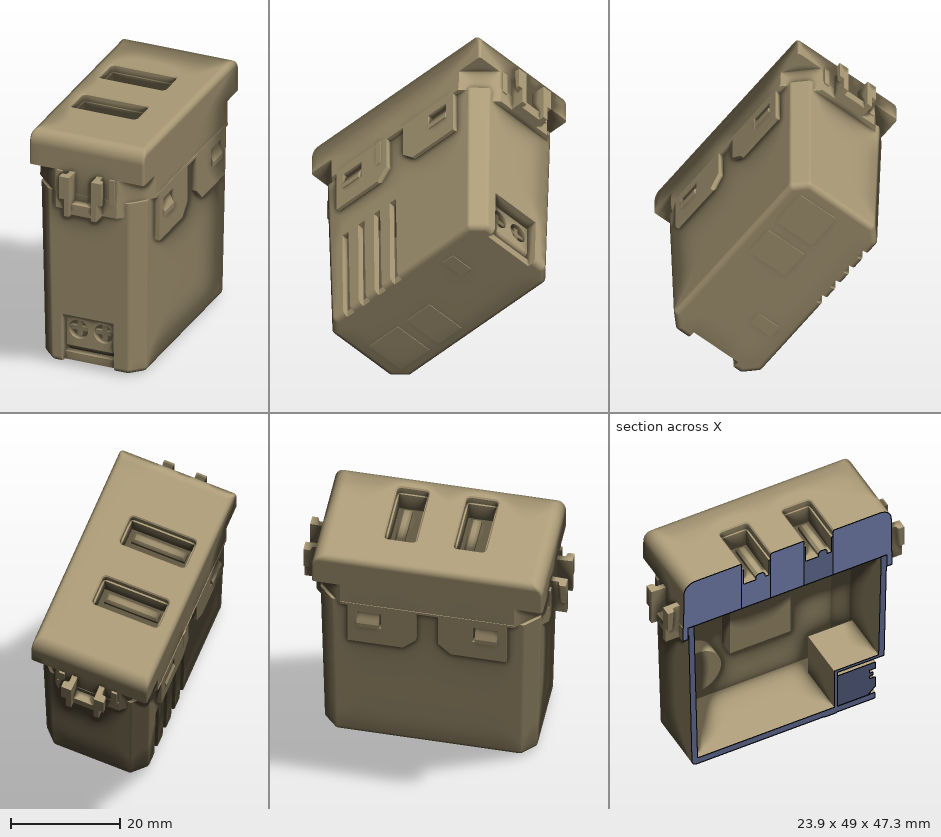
import cadquery as cq

TOTAL_HEIGHT = 47.25
HALF_LENGTH = 24.5

CAP_HALF_X = 11.55
CAP_HALF_Y = 21.6
CAP_BOTTOM = 36.25
CAP_DRAFT = 0.1
END_ROUND = 2.45
SIDE_ROUND = 1.2
CORNER_ROUND = 0.5

FLANGE_HALF_X = 11.65
FLANGE_HALF_Y = 21.7
FLANGE_BOTTOM = 35.7
CORNER_CUT = 5.6
CORNER_CUT_TOP = 40.55

TAB_BOTTOM = 26.3
TAB_OUTER_Y = 14.85
TAB_INNER_Y = 2.05
TAB_CHAMFER = 2.4
TAB_LEAD_IN = 0.35
WINDOW_INNER_Y = 8.55
WINDOW_OUTER_Y = 13.1
WINDOW_BOTTOM = 30.55
WINDOW_TOP = 34.3
TAB_RIB_Y = (3.55, 4.6)
TAB_RIB_REACH = 11.8

SKIRT_BOTTOM = 32.85
SKIRT_HALF_X = 7.25
BUMP_X = (4.65, 5.75)
BUMP_REACH = 21.95
BUMP_BOTTOM = 35.52
CLIP_TOP = 40.75
CLIP_HEAD_BOTTOM = CAP_BOTTOM
CLIP_STEM_X = (2.25, 3.25)
CLIP_ROOT_X = 2.15
CLIP_HEAD_X = 4.2
CLIP_HEAD_Y = 23.15
CLIP_HEAD_LEAN = 0.3
CLIP_HEAD_ROUND = 0.45
WEB_REACH = 23.4
WEB_TOP = 34.95

HOUSING_HALF_X = 10.65
HOUSING_HALF_Y = 20.6
HOUSING_FOOT_HALF_X = 10.15
HOUSING_FOOT_HALF_Y = 19.85
HOUSING_CHAMFER = 2.6
HOUSING_EDGE_ROUND = 0.75
HOUSING_BOTTOM_ROUND = 1.15
HOUSING_BOTTOM = 0.15
WALL = 1.22
FLOOR_TOP = 1.7
CATCH_INNER_Y = 8.95
CATCH_REACH = 11.95
CATCH_PEAK = 31.5
PAD_BOXES = (
    ((-0.8, 7.55), (9.75, 17.0)),
    ((-0.8, 7.55), (1.6, 7.45)),
    ((-6.85, -2.1), (-10.2, -7.65)),
)

SLOT_COUNT = 4
SLOT_FIRST_Y = 1.7
SLOT_PITCH = 4.0
SLOT_TOP = 20.2
SLOT_TOP_WIDTH = 1.55
SLOT_BOTTOM_WIDTH = 1.8

BOSS_RADIUS = 5.0
BOSS_Y = 13.15
BOSS_Z = 11.75
STEP_HALF_Y = 6.25
STEP_BOTTOM = 13.5
INNER_RELIEF = 2.95

OPENING_X = (-5.8, 4.75)
OPENING_TOP = 10.25
OPENING_FLOOR_SETBACK = 18.2
BLOCK_X = (-5.4, 4.35)
BLOCK_TOP = 9.45
BLOCK_FRONT = -18.25
BLOCK_DEPTH = 7.85
BLOCK_UNDERCUT = 1.45
CHAMBER_WALL = 0.75
SCREW_X = (-3.05, 1.95)
SCREW_Z = 6.7
SCREW_RADIUS = 1.9
SCREW_RECESS = 1.22
CROSS_RECESS = 0.5
CROSS_WIDTH = 0.85
CROSS_HEIGHT = 3.0

SOCKET_X = -2.05
SOCKET_Y = (6.5, -6.4)
SOCKET_LENGTH = 13.15
SOCKET_WIDTH = 5.95
SOCKET_CORNER = 0.75
SOCKET_TOP = 45.65
SHELL_WALL = 0.35
SOCKET_FLOOR = 41.9
TONGUE_LENGTH = 10.6
TONGUE_WIDTH = 1.9
TONGUE_OFFSET_Y = -0.9
TONGUE_TOP = 43.1
TONGUE_CHAMFER = 0.5
MOUTH_CHAMFER = 0.25


def block(x_range, y_range, z_range):
    """Box between the given limits along X, Y and Z."""
    limits = (x_range, y_range, z_range)
    sizes = [high - low for low, high in limits]
    return cq.Workplane("XY").box(*sizes, centered=False).translate([low for low, high in limits])


def octagon(half_x, half_y, cut, z):
    """Rectangle with diagonally cut corners, drawn at height z."""
    points = []
    for sign_x, sign_y in ((1, 1), (-1, 1), (-1, -1), (1, -1)):
        on_side = (sign_x * half_x, sign_y * (half_y - cut))
        on_end = (sign_x * (half_x - cut), sign_y * half_y)
        points += [on_side, on_end] if sign_x == sign_y else [on_end, on_side]
    return cq.Workplane("XY").workplane(offset=z).polyline(points).close()


def on_both_ends(shape):
    """The shape together with its mirror image across Y = 0."""
    return shape.union(shape.mirror("XZ"))


def on_both_sides(shape):
    """The shape together with its mirror image across X = 0."""
    return shape.union(shape.mirror("YZ"))


def rounded_profile(plane, length_edges, half_width, radius):
    """Long bar with the cap's cross-section: leaning sides and rounded top edges."""
    return (
        cq.Workplane(plane)
        .moveTo(-half_width, CAP_BOTTOM)
        .lineTo(half_width, CAP_BOTTOM)
        .lineTo(half_width - CAP_DRAFT, TOTAL_HEIGHT)
        .lineTo(-half_width + CAP_DRAFT, TOTAL_HEIGHT)
        .close()
        .extrude(HALF_LENGTH, both=True)
        .edges(">Z")
        .edges(length_edges)
        .fillet(radius)
    )


def make_cap():
    across = rounded_profile("XZ", "|Y", CAP_HALF_X, SIDE_ROUND)
    along = rounded_profile("YZ", "|X", CAP_HALF_Y, END_ROUND)
    cap = across.intersect(along)
    for sign_x in (-1, 1):
        for sign_y in (-1, 1):
            corner_edges = cq.selectors.BoxSelector(
                (sign_x * (CAP_HALF_X - SIDE_ROUND), sign_y * (CAP_HALF_Y - END_ROUND), CAP_BOTTOM),
                (sign_x * HALF_LENGTH, sign_y * HALF_LENGTH, TOTAL_HEIGHT),
            )
            cap = cap.edges(corner_edges).edges("not(|X or |Y)").fillet(CORNER_ROUND)
    return cap


def make_flange():
    outline = octagon(FLANGE_HALF_X, FLANGE_HALF_Y, CORNER_CUT, FLANGE_BOTTOM)
    return outline.extrude(CAP_BOTTOM - FLANGE_BOTTOM)


def cut_cap_corners(cap):
    """Cut the lower corners of the cap flush with the flange."""
    height = CORNER_CUT_TOP - CAP_BOTTOM
    keep = octagon(FLANGE_HALF_X, FLANGE_HALF_Y, CORNER_CUT, CAP_BOTTOM).extrude(height)
    band = cq.Workplane("XY").workplane(offset=CAP_BOTTOM).rect(2 * HALF_LENGTH, 2 * HALF_LENGTH)
    return cap.cut(band.extrude(height).cut(keep))


def make_tabs():
    tab = (
        cq.Workplane("YZ")
        .workplane(offset=HOUSING_HALF_X)
        .moveTo(TAB_OUTER_Y, FLANGE_BOTTOM)
        .lineTo(TAB_OUTER_Y, TAB_BOTTOM)
        .lineTo(TAB_INNER_Y + TAB_CHAMFER, TAB_BOTTOM)
        .lineTo(TAB_INNER_Y, TAB_BOTTOM + TAB_CHAMFER)
        .lineTo(TAB_INNER_Y, FLANGE_BOTTOM)
        .close()
        .extrude(FLANGE_HALF_X - HOUSING_HALF_X)
        .faces("<Z")
        .edges("<X")
        .chamfer(TAB_LEAD_IN)
    )
    window = block(
        (0, HALF_LENGTH), (WINDOW_INNER_Y, WINDOW_OUTER_Y), (WINDOW_BOTTOM, WINDOW_TOP)
    )
    tabs = on_both_sides(on_both_ends(tab.cut(window)))
    rib = block((-TAB_RIB_REACH, -HOUSING_HALF_X), TAB_RIB_Y, (WINDOW_BOTTOM, CAP_BOTTOM))
    return tabs.union(rib)


def make_skirt():
    """Skirt below the flange on the +Y end, with two bumps on its face."""
    outline = octagon(FLANGE_HALF_X, FLANGE_HALF_Y, CORNER_CUT, SKIRT_BOTTOM)
    skirt = outline.extrude(FLANGE_BOTTOM - SKIRT_BOTTOM).intersect(
        block(
            (-SKIRT_HALF_X, SKIRT_HALF_X),
            (HOUSING_HALF_Y, HALF_LENGTH),
            (SKIRT_BOTTOM, FLANGE_BOTTOM),
        )
    )
    bump = block(BUMP_X, (HOUSING_HALF_Y, BUMP_REACH), (BUMP_BOTTOM, CORNER_CUT_TOP))
    return skirt.union(on_both_sides(bump))


def clip_head_outline(start, underside_y):
    """Hooked head seen from above, with rounded corners along its underside."""
    stem_inner, stem_outer = CLIP_STEM_X
    radius = CLIP_HEAD_ROUND
    return (
        start.moveTo(stem_inner, HALF_LENGTH)
        .lineTo(CLIP_HEAD_X, HALF_LENGTH)
        .lineTo(CLIP_HEAD_X, underside_y + radius)
        .radiusArc((CLIP_HEAD_X - radius, underside_y), radius)
        .lineTo(stem_outer + radius, underside_y)
        .radiusArc((stem_outer, underside_y - radius), -radius)
        .lineTo(stem_inner, underside_y - radius)
        .close()
    )


def make_clips():
    """Pair of hooked clips on the +Y end, joined by a web."""
    stem_inner, stem_outer = CLIP_STEM_X
    stem = (
        cq.Workplane("XY")
        .workplane(offset=SKIRT_BOTTOM)
        .moveTo(CLIP_ROOT_X, HOUSING_HALF_Y)
        .lineTo(stem_outer, HOUSING_HALF_Y)
        .lineTo(stem_outer, HALF_LENGTH)
        .lineTo(stem_inner, HALF_LENGTH)
        .close()
        .extrude(CLIP_TOP - SKIRT_BOTTOM)
    )
    lower = cq.Workplane("XY").workplane(offset=CLIP_HEAD_BOTTOM)
    lower = clip_head_outline(lower, CLIP_HEAD_Y + CLIP_HEAD_LEAN)
    upper = lower.workplane(offset=CLIP_TOP - CLIP_HEAD_BOTTOM)
    head = clip_head_outline(upper, CLIP_HEAD_Y).loft(ruled=True)
    web = block((-stem_outer, stem_outer), (HOUSING_HALF_Y, WEB_REACH), (SKIRT_BOTTOM, WEB_TOP))
    return on_both_sides(stem.union(head)).union(web)


def socket_outline(socket_y, z):
    """Outer rectangle of a socket, drawn at height z."""
    start = cq.Workplane("XY").workplane(offset=z).center(SOCKET_X, socket_y)
    return start.rect(SOCKET_LENGTH, SOCKET_WIDTH)


def cut_port(cover, socket_y):
    """Through opening for a socket, with rounded corners and a chamfered mouth."""
    height = TOTAL_HEIGHT - FLANGE_BOTTOM
    hole = socket_outline(socket_y, FLANGE_BOTTOM).extrude(height).edges("|Z").fillet(SOCKET_CORNER)
    half_length = SOCKET_LENGTH / 2 + MOUTH_CHAMFER
    half_width = SOCKET_WIDTH / 2 + MOUTH_CHAMFER
    mouth_edges = cq.selectors.BoxSelector(
        (SOCKET_X - half_length, socket_y - half_width, TOTAL_HEIGHT - MOUTH_CHAMFER),
        (SOCKET_X + half_length, socket_y + half_width, TOTAL_HEIGHT + MOUTH_CHAMFER),
    )
    return cover.cut(hole).edges(mouth_edges).chamfer(MOUTH_CHAMFER)


def make_cover():
    cover = cut_cap_corners(make_cap()).union(make_flange()).union(make_tabs())
    cover = cover.union(on_both_ends(make_skirt().union(make_clips())))
    for socket_y in SOCKET_Y:
        cover = cut_port(cover, socket_y)
    return cover


def tapered_octagon(inset, bottom):
    """Body of the housing down to the given height, with its walls moved in by the inset."""
    foot = octagon(
        HOUSING_FOOT_HALF_X - inset, HOUSING_FOOT_HALF_Y - inset, HOUSING_CHAMFER, bottom
    )
    top = octagon(HOUSING_HALF_X - inset, HOUSING_HALF_Y - inset, HOUSING_CHAMFER, FLANGE_BOTTOM)
    solid = cq.Solid.makeLoft([foot.wire().val(), top.wire().val()], True)
    return cq.Workplane("XY").newObject([solid])


def make_shell():
    upright_edges = "not(#Z)"
    outer = tapered_octagon(0, HOUSING_BOTTOM).edges(upright_edges).fillet(HOUSING_EDGE_ROUND)
    outer = outer.faces("<Z").edges().fillet(HOUSING_BOTTOM_ROUND)
    return outer.cut(tapered_octagon(WALL, FLOOR_TOP))


def make_catches():
    """Wedges on the X sides that snap into the windows of the tabs."""
    root_x = HOUSING_HALF_X - WALL / 2
    catch = (
        cq.Workplane("XZ")
        .moveTo(root_x, WINDOW_BOTTOM)
        .lineTo(CATCH_REACH, WINDOW_BOTTOM)
        .lineTo(CATCH_REACH, CATCH_PEAK)
        .lineTo(HOUSING_HALF_X, WINDOW_TOP)
        .lineTo(root_x, WINDOW_TOP)
        .close()
        .extrude(-(WINDOW_OUTER_Y - CATCH_INNER_Y))
        .translate((0, CATCH_INNER_Y, 0))
    )
    return on_both_sides(on_both_ends(catch))


def make_slots():
    """Cutters for the ventilation slots, which run out through the edge of the floor."""
    cutter = (
        cq.Workplane("YZ")
        .polyline([
            (-SLOT_BOTTOM_WIDTH / 2, 0),
            (SLOT_BOTTOM_WIDTH / 2, 0),
            (SLOT_TOP_WIDTH / 2, SLOT_TOP),
            (-SLOT_TOP_WIDTH / 2, SLOT_TOP),
        ])
        .close()
        .extrude(HALF_LENGTH)
        .translate((WALL - HOUSING_FOOT_HALF_X - HALF_LENGTH, 0, 0))
    )
    slots = cq.Workplane("XY")
    for index in range(SLOT_COUNT):
        slots = slots.add(cutter.translate((0, SLOT_FIRST_Y + index * SLOT_PITCH, 0)))
    return slots.combine()


def make_inner_features():
    wall_inside = HOUSING_FOOT_HALF_X - WALL
    wall_middle = HOUSING_FOOT_HALF_X - WALL / 2
    relief_face = wall_inside - INNER_RELIEF
    boss = (
        cq.Workplane("YZ")
        .workplane(offset=relief_face)
        .center(BOSS_Y, BOSS_Z)
        .circle(BOSS_RADIUS)
        .extrude(wall_middle - relief_face)
    )
    step = block(
        (relief_face, wall_middle), (-STEP_HALF_Y, STEP_HALF_Y), (STEP_BOTTOM, FLANGE_BOTTOM)
    )
    return boss.union(step)


def add_terminal_chamber(housing):
    """Closed sleeve behind the opening in the -Y wall, and the notch in the floor before it."""
    back = BLOCK_FRONT + BLOCK_DEPTH
    left, right = OPENING_X
    sleeve = block(
        (left - CHAMBER_WALL, right + CHAMBER_WALL),
        (WALL / 2 - HOUSING_FOOT_HALF_Y, back + CHAMBER_WALL),
        (FLOOR_TOP - WALL / 2, OPENING_TOP + CHAMBER_WALL),
    )
    inside = block(OPENING_X, (-HALF_LENGTH, back), (FLOOR_TOP, OPENING_TOP))
    notch = block(OPENING_X, (-HALF_LENGTH, -OPENING_FLOOR_SETBACK), (0, OPENING_TOP))
    return housing.union(sleeve).cut(inside).cut(notch)


def make_housing():
    housing = make_shell().union(make_inner_features()).union(make_catches())
    housing = add_terminal_chamber(housing.cut(make_slots()))
    for x_range, y_range in PAD_BOXES:
        housing = housing.union(block(x_range, y_range, (0, FLOOR_TOP)))
    return housing


def make_terminal():
    terminal = (
        cq.Workplane("YZ")
        .workplane(offset=BLOCK_X[0])
        .moveTo(BLOCK_FRONT, BLOCK_TOP)
        .lineTo(BLOCK_FRONT, FLOOR_TOP + BLOCK_UNDERCUT)
        .lineTo(BLOCK_FRONT + BLOCK_UNDERCUT, FLOOR_TOP)
        .lineTo(BLOCK_FRONT + BLOCK_DEPTH, FLOOR_TOP)
        .lineTo(BLOCK_FRONT + BLOCK_DEPTH, BLOCK_TOP)
        .close()
        .extrude(BLOCK_X[1] - BLOCK_X[0])
    )
    for screw_x in SCREW_X:
        face = cq.Workplane("XZ", origin=(screw_x, BLOCK_FRONT, SCREW_Z))
        recess = face.circle(SCREW_RADIUS).extrude(-SCREW_RECESS)
        cross_root = face.workplane(offset=-SCREW_RECESS)
        cross_depth = SCREW_RECESS - CROSS_RECESS
        for length, height in ((2 * SCREW_RADIUS, CROSS_WIDTH), (CROSS_WIDTH, CROSS_HEIGHT)):
            recess = recess.cut(cross_root.rect(length, height).extrude(cross_depth))
        terminal = terminal.cut(recess)
    return terminal


def make_socket(socket_y):
    height = SOCKET_TOP - FLANGE_BOTTOM
    shell = socket_outline(socket_y, FLANGE_BOTTOM).extrude(height).edges("|Z").fillet(SOCKET_CORNER)
    plan = cq.Workplane("XY").workplane(offset=SOCKET_FLOOR).center(SOCKET_X, socket_y)
    bore = plan.rect(SOCKET_LENGTH - 2 * SHELL_WALL, SOCKET_WIDTH - 2 * SHELL_WALL).extrude(height)
    tongue = (
        plan.center(0, TONGUE_OFFSET_Y)
        .rect(TONGUE_LENGTH, TONGUE_WIDTH)
        .extrude(TONGUE_TOP - SOCKET_FLOOR)
        .faces(">Z")
        .chamfer(TONGUE_CHAMFER)
    )
    return shell.cut(bore).union(tongue)


cover = make_cover()
housing = make_housing()
terminal = make_terminal()
sockets = [make_socket(socket_y) for socket_y in SOCKET_Y]

result = cq.Compound.makeCompound(
    [cover.val(), housing.val(), terminal.val()] + [socket.val() for socket in sockets]
)